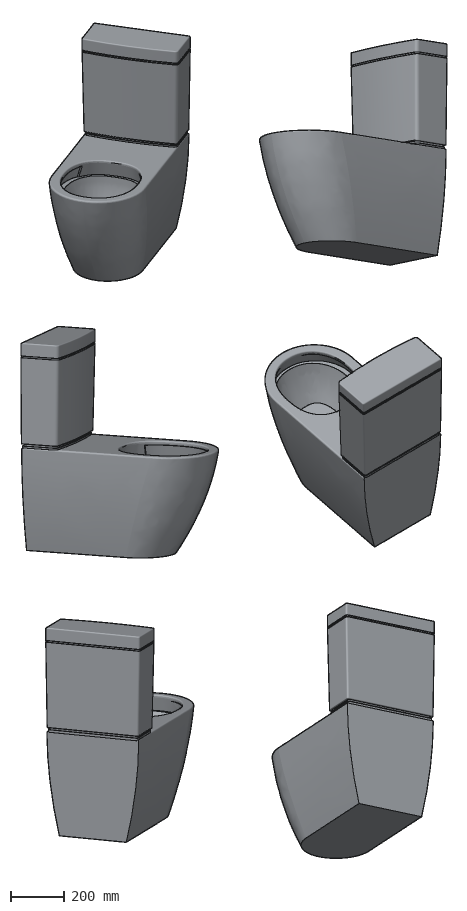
import cadquery as cq
import math


total_height = 802.0
total_depth = 713.0
cistern_width = 383.0

deck_z = 401.0
pan_back_y = -3.0
pan_half_width = 186.0
pan_width_drop = 50.5
pan_width_power = 1.9
nose_edge_loss = 1.2
nose_drop_linear = 64.0
nose_drop_curved = 103.0
round_start_top_y = -529.0
round_start_foot_y = -405.0
nose_fullness = 0.55
pan_sections = 7
deck_edge_radius = 6.5

opening_center_y = -505.0
opening_half_width = 145.0
opening_rear = 164.5
opening_front = 168.0
opening_rear_power = 2.5
opening_front_power = 2.15
basin_center_y = -463.5
basin_half_width = 74.5
basin_rear = 87.0
basin_front = 115.5
basin_rear_power = 3.0
basin_front_power = 2.8
rim_lip = 10.0
rim_edge_radius = 5.0
undercut = 11.0
side_undercut = 22.5
side_recess_back_y = -382.0
side_recess_top_z = 385.0
ledge_z = deck_z - 62.5
basin_z = 212.5
wall_bulge = 0.58
rear_wall_bulge = 0.72

cistern_bottom_z = 415.5
cistern_top_z = 747.0
lid_bottom_z = 753.0
cistern_depth = 165.0
cistern_side_taper = 6.0
cistern_front_taper = 6.5
front_bow = 11.0
front_corner_radius = 14.0
rear_corner_radius = 7.0
plinth_top_z = 407.5
plinth_inset = 4.0
neck_inset = 7.0
groove_depth = 3.0
lid_edge_radius = 5.0
cistern_foot_radius = 2.5


def pan_section(z):
    """Outline of the pan at height z: straight back and sides with a half-elliptical nose."""
    down = 1 - z / deck_z
    half_width = pan_half_width - pan_width_drop * down ** pan_width_power
    nose_y = -total_depth - nose_edge_loss + nose_drop_linear * down + nose_drop_curved * down ** 2
    start_y = round_start_top_y + (round_start_foot_y - round_start_top_y) * down
    handle_x = half_width * nose_fullness
    handle_y = start_y + (nose_y - start_y) * nose_fullness
    return (
        cq.Workplane("XY", origin=(0, 0, z))
        .moveTo(-half_width, start_y)
        .lineTo(-half_width, pan_back_y)
        .lineTo(half_width, pan_back_y)
        .lineTo(half_width, start_y)
        .bezier([(half_width, handle_y), (handle_x, nose_y), (0, nose_y)], includeCurrent=True)
        .bezier([(-handle_x, nose_y), (-half_width, handle_y), (-half_width, start_y)], includeCurrent=True)
        .close()
        .val()
    )


def make_pan():
    heights = [deck_z * i / (pan_sections - 1) for i in range(pan_sections)]
    wires = [pan_section(z) for z in heights]
    body = cq.Workplane(cq.Solid.makeLoft(wires))
    return body.faces(">Z").edges().fillet(deck_edge_radius)


def egg(z, center_y, half_width, rear, front, rear_power, front_power):
    """Closed oval at height z with a different length and fullness behind and in front of its centre."""
    points = []
    count = 32
    for i in range(count):
        angle = 2 * math.pi * i / count
        c = math.cos(angle)
        s = math.sin(angle)
        power = rear_power if s > 0 else front_power
        length = rear if s > 0 else front
        x = math.copysign(abs(c) ** (2 / power), c) * half_width
        y = math.copysign(abs(s) ** (2 / power), s) * length
        points.append((x, center_y + y))
    return cq.Workplane("XY", origin=(0, 0, z)).spline(points, periodic=True).close().val()


def bowl_section(z, blend, rear_blend=None, end_grow=0.0, side_grow=0.0):
    """Oval between the basin (blend 0) and the rim opening (blend 1), lengthened and widened by the grows.

    The rear half may follow a blend of its own.
    """
    def mix(low, high, share=blend):
        return low + (high - low) * share

    if rear_blend is None:
        rear_blend = blend
    center_y = mix(basin_center_y, opening_center_y)
    rear_y = mix(basin_center_y + basin_rear, opening_center_y + opening_rear, rear_blend)
    return egg(
        z,
        center_y,
        mix(basin_half_width, opening_half_width) + side_grow,
        rear_y - center_y + end_grow,
        mix(basin_front, opening_front) + end_grow,
        mix(basin_rear_power, opening_rear_power),
        mix(basin_front_power, opening_front_power),
    )


def make_lip_opening():
    """Upright opening through the deck, down to the underside of the lip."""
    return cq.Workplane(cq.Solid.makeLoft([bowl_section(deck_z - rim_lip, 1), bowl_section(deck_z, 1)]))


def make_rim_recess():
    """Undercut below the lip, flaring down to the ledge."""
    foot = bowl_section(ledge_z, 1, end_grow=undercut, side_grow=undercut)
    return cq.Workplane(cq.Solid.makeLoft([foot, bowl_section(deck_z - rim_lip, 1)]))


def make_side_recess():
    """Deeper undercut along both sides, in front of the step."""
    foot = bowl_section(ledge_z, 1, end_grow=undercut / 2, side_grow=side_undercut)
    top = bowl_section(side_recess_top_z, 1, side_grow=side_undercut / 2)
    in_front_of_step = (
        cq.Workplane("XY")
        .box(cistern_width, total_depth, total_height, centered=(True, False, False))
        .translate((0, side_recess_back_y - total_depth, 0))
    )
    return cq.Workplane(cq.Solid.makeLoft([foot, top])).intersect(in_front_of_step)


def make_bowl():
    """Curved wall from the ledge down to the flat basin."""
    middle = bowl_section((ledge_z + basin_z) / 2, wall_bulge, rear_wall_bulge)
    return cq.Workplane(cq.Solid.makeLoft([bowl_section(basin_z, 0), middle, bowl_section(ledge_z, 1)]))


def cistern_section(z, inset=0.0, side_taper=0.0, front_taper=0.0):
    """Rounded rectangle with a bowed front at height z, inset all round and narrowed by the tapers."""
    half_width = cistern_width / 2 - inset - side_taper
    front_y = inset + front_taper - cistern_depth
    corner_y = front_y + front_bow
    outline = (
        cq.Workplane("XY", origin=(0, 0, z))
        .moveTo(-half_width, -inset)
        .lineTo(half_width, -inset)
        .lineTo(half_width, corner_y)
        .threePointArc((0, front_y), (-half_width, corner_y))
        .close()
        .val()
    )
    face = cq.Face.makeFromWires(outline)
    face = face.fillet2D(rear_corner_radius, [v for v in face.Vertices() if v.Y > corner_y / 2])
    face = face.fillet2D(front_corner_radius, [v for v in face.Vertices() if v.Y < corner_y / 2])
    return face.outerWire()


def rounded_block(bottom_wire, top_wire):
    """Straight-sided block between two cistern outlines."""
    return cq.Workplane(cq.Solid.makeLoft([bottom_wire, top_wire], True))


def make_neck():
    """Low plinth on the deck with a narrower neck that carries the cistern."""
    def step(bottom_z, top_z, inset):
        wires = [cistern_section(z, inset, cistern_side_taper, cistern_front_taper) for z in (bottom_z, top_z)]
        return rounded_block(*wires)

    plinth = step(deck_z - deck_edge_radius, plinth_top_z, plinth_inset)
    return plinth.union(step(plinth_top_z, cistern_bottom_z, neck_inset))


def make_cistern():
    tank = rounded_block(
        cistern_section(cistern_bottom_z, 0, cistern_side_taper, cistern_front_taper),
        cistern_section(cistern_top_z),
    )
    tank = tank.faces("<Z").edges().fillet(cistern_foot_radius)
    groove = rounded_block(
        cistern_section(cistern_top_z, groove_depth),
        cistern_section(lid_bottom_z, groove_depth),
    )
    lid = rounded_block(cistern_section(lid_bottom_z), cistern_section(total_height))
    lid = lid.faces(">Z").edges().fillet(lid_edge_radius)
    return tank.union(groove).union(lid)


def on_rim_edge():
    """Box around the edge where the bowl opening meets the deck."""
    margin = 8.0
    return cq.selectors.BoxSelector(
        (-opening_half_width - margin, opening_center_y - opening_front - margin, deck_z - margin / 2),
        (opening_half_width + margin, opening_center_y + opening_rear + margin, deck_z + margin / 2),
    )


pan = make_pan().cut(make_lip_opening())
pan = pan.edges(on_rim_edge()).fillet(rim_edge_radius)
for hollow in (make_rim_recess(), make_side_recess(), make_bowl()):
    pan = pan.cut(hollow)
result = pan.union(make_neck()).union(make_cistern())